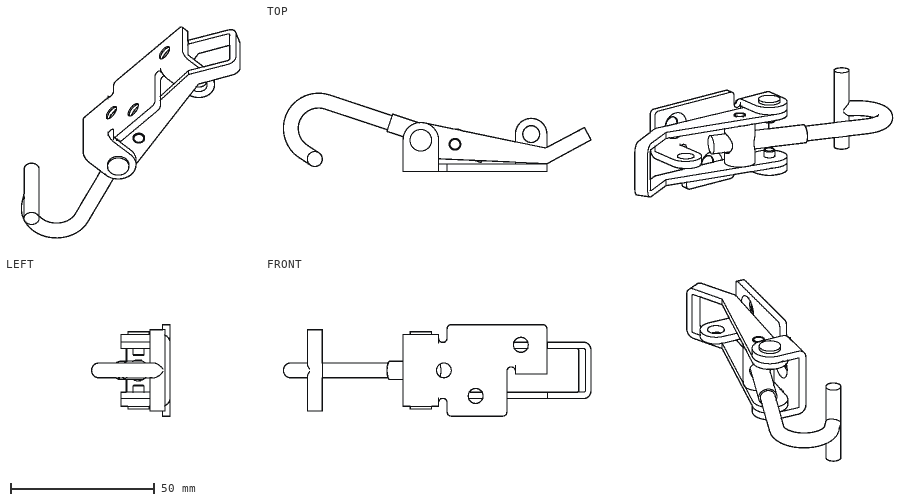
import cadquery as cq
import math


BASE_SHEET = 2.7
BASE_BEND_OUTER = 3.0
BASE_BEND_INNER = BASE_BEND_OUTER - BASE_SHEET
PLATE_HALF_HEIGHT = 16.0
PLATE_CORNER = 1.5
PLATE_RIGHT = 44.0
LOWER_BLOCK_RIGHT = 30.1
MOUNT_HOLES = [(8.1, 0), (19.1, -8.9), (34.9, 8.9)]
MOUNT_HOLE_RADIUS = 2.6
MOUNT_HOLE_LAND = 0.5
RELIEF_WIDTH = 2.9
RELIEF_RADIUS = RELIEF_WIDTH / 2
EAR_RELIEF_Z = 9.8

PIVOT_Y = 11.0
EAR_RADIUS = 6.2
EAR_OUTER_Z = 12.6
EAR_INNER_Z = EAR_OUTER_Z - BASE_SHEET
BLOCK_LEFT = EAR_RADIUS + RELIEF_WIDTH

TAB_LEFT = LOWER_BLOCK_RIGHT + RELIEF_WIDTH
TAB_RADIUS = (PLATE_RIGHT - TAB_LEFT) / 2
TAB_HOLE_X = PLATE_RIGHT - TAB_RADIUS
TAB_HOLE_Y = 13.1
TAB_HOLE_RADIUS = 2.9
TAB_OUTER_Z = -1.3
TAB_RELIEF_Z = 1.2

LEVER_SHEET = 2.3
LEVER_OUTER_Z = EAR_INNER_Z
LEVER_INNER_Z = LEVER_OUTER_Z - LEVER_SHEET
LEVER_BEND_OUTER = 3.0
ELBOW_TOP = (43.5, 8.3)
ELBOW_BOTTOM = (44.1, 2.8)
TAIL_ANGLE = 28.5
TAIL_LENGTH = 17.4
TAIL_WIDTH = 4.9
CUTTER_SIZE = 214.8

RIVET_HEAD_RADIUS = 3.8
RIVET_HEAD_HEIGHT = 1.0
RIVET_SHANK_RADIUS = 1.9
RIVET_INNER_Z = 5.2
PIN_CHAMFER = 0.3

TRUNNION_X = 11.9
TRUNNION_Y = 9.6
TRUNNION_RADIUS = 5.4
TRUNNION_PIN_RADIUS = 2.0
TRUNNION_HOLE_RADIUS = 3.7

HOOK_ANGLE = 18.3
ROD_DIAMETER = 5.3
ROD_RADIUS = ROD_DIAMETER / 2
COLLAR_RADIUS = 3.2
COLLAR_TAIL = 10.6
COLLAR_FRONT = 24.0
BEND_START = 46.9
BEND_RADIUS = 9.7
BEND_END_ANGLE = 33.4
HOOK_TIP_LENGTH = 4.8
CROSSBAR_HALF_LENGTH = 14.2


def block(x0, x1, y0, y1, z0, z1):
    return cq.Workplane("XY").box(x1 - x0, y1 - y0, z1 - z0, centered=False).translate((x0, y0, z0))


def post(x, y, radius, z0, z1):
    return cq.Workplane("XY").workplane(offset=z0).center(x, y).circle(radius).extrude(z1 - z0)


def plate_disc(x, z, radius):
    """Round cutter along Y through the base plate."""
    return cq.Workplane("XZ").center(x, z).circle(radius).extrude(-BASE_SHEET)


def round_ended(x, y, radius, z0, z1):
    """Flange shape that rises from Y = 0 to a round end centred on (x, y)."""
    return block(x - radius, x + radius, 0, y, z0, z1).union(post(x, y, radius, z0, z1))


def make_ears():
    top = PIVOT_Y + EAR_RADIUS
    outer = block(-EAR_RADIUS, EAR_RADIUS, 0, top, -EAR_OUTER_Z, EAR_OUTER_Z)
    outer = outer.edges("|X and <Y").fillet(BASE_BEND_OUTER)
    inner = block(-EAR_RADIUS, EAR_RADIUS, BASE_SHEET, 2 * top, -EAR_INNER_Z, EAR_INNER_Z)
    inner = inner.edges("|X and <Y").fillet(BASE_BEND_INNER)
    return outer.cut(inner).intersect(round_ended(0, PIVOT_Y, EAR_RADIUS, -EAR_OUTER_Z, EAR_OUTER_Z))


def make_tab():
    top = TAB_HOLE_Y + TAB_RADIUS
    outer = block(TAB_LEFT, PLATE_RIGHT, 0, top, TAB_OUTER_Z, EAR_INNER_Z)
    outer = outer.edges("|X and <Y and <Z").fillet(BASE_BEND_OUTER)
    inner = block(TAB_LEFT, PLATE_RIGHT, BASE_SHEET, 2 * top, TAB_OUTER_Z + BASE_SHEET, PLATE_HALF_HEIGHT)
    inner = inner.edges("|X and <Y and <Z").fillet(BASE_BEND_INNER)
    tab = outer.cut(inner)
    tab = tab.intersect(round_ended(TAB_HOLE_X, TAB_HOLE_Y, TAB_RADIUS, TAB_OUTER_Z, EAR_INNER_Z))
    return tab.cut(post(TAB_HOLE_X, TAB_HOLE_Y, TAB_HOLE_RADIUS, TAB_OUTER_Z, EAR_INNER_Z))


def make_plate():
    tab_root_z = TAB_OUTER_Z + BASE_BEND_OUTER
    upper = block(BLOCK_LEFT, PLATE_RIGHT, 0, BASE_SHEET, tab_root_z, PLATE_HALF_HEIGHT)
    upper = upper.edges("|Y and >Z").fillet(PLATE_CORNER)
    lower = block(BLOCK_LEFT, LOWER_BLOCK_RIGHT, 0, BASE_SHEET, -PLATE_HALF_HEIGHT, tab_root_z)
    lower = lower.edges("|Y and <Z").fillet(PLATE_CORNER)
    ear_relief_centre = EAR_RELIEF_Z + RELIEF_RADIUS
    neck = block(EAR_RADIUS, BLOCK_LEFT, 0, BASE_SHEET, -ear_relief_centre, ear_relief_centre)
    tab_relief_centre = TAB_RELIEF_Z - RELIEF_RADIUS
    tab_neck = block(LOWER_BLOCK_RIGHT, TAB_LEFT, 0, BASE_SHEET, tab_relief_centre, tab_root_z)
    plate = upper.union(lower).union(neck).union(tab_neck)
    for side in (-1, 1):
        plate = plate.cut(plate_disc(EAR_RADIUS + RELIEF_RADIUS, side * ear_relief_centre, RELIEF_RADIUS))
    return plate.cut(plate_disc(LOWER_BLOCK_RIGHT + RELIEF_RADIUS, tab_relief_centre, RELIEF_RADIUS))


def mount_hole(x, z):
    """Cutter for a screw hole that is countersunk from the plate's inner face."""
    depth = BASE_SHEET - MOUNT_HOLE_LAND
    wide_radius = MOUNT_HOLE_RADIUS + depth
    inner_face = cq.Vector(x, BASE_SHEET, z)
    outward = cq.Vector(0, -1, 0)
    cone = cq.Solid.makeCone(wide_radius, MOUNT_HOLE_RADIUS, depth, inner_face, outward)
    hole = plate_disc(x, z, MOUNT_HOLE_RADIUS)
    return hole.union(cq.Workplane(cone))


def make_base():
    base = make_plate().union(make_ears()).union(make_tab())
    for x, z in MOUNT_HOLES:
        base = base.cut(mount_hole(x, z))
    return base.cut(post(0, PIVOT_Y, RIVET_SHANK_RADIUS, -EAR_OUTER_Z, EAR_OUTER_Z))


def pivot_tangent(point, side):
    """Point where the line from `point` touches the lever's round end; side is 1 above, -1 below."""
    dx = point[0]
    dy = point[1] - PIVOT_Y
    angle = math.atan2(dy, dx) + side * math.acos(EAR_RADIUS / math.hypot(dx, dy))
    return (EAR_RADIUS * math.cos(angle), PIVOT_Y + EAR_RADIUS * math.sin(angle))


def from_point(point, angle, along, across=0):
    """Point reached from `point` by going `along` a direction and `across` to its left."""
    turn = math.radians(angle)
    x = point[0] + along * math.cos(turn) - across * math.sin(turn)
    y = point[1] + along * math.sin(turn) + across * math.cos(turn)
    return (x, y)


def lever_envelope(tail_end, inset):
    """Block with a rounded end square to the tail, set back by `inset` from the lever's outside."""
    half_height = LEVER_OUTER_Z - inset
    envelope = block(-CUTTER_SIZE, -inset, -CUTTER_SIZE, CUTTER_SIZE, -half_height, half_height)
    envelope = envelope.edges("|Y and >X").fillet(LEVER_BEND_OUTER - inset)
    return envelope.rotate((0, 0, 0), (0, 0, 1), TAIL_ANGLE).translate((*tail_end, 0))


def make_lever():
    tail_end_bottom = from_point(ELBOW_BOTTOM, TAIL_ANGLE, TAIL_LENGTH)
    tail_end_top = from_point(ELBOW_BOTTOM, TAIL_ANGLE, TAIL_LENGTH, TAIL_WIDTH)
    lever = (
        cq.Workplane("XY")
        .workplane(offset=-LEVER_OUTER_Z)
        .moveTo(*pivot_tangent(ELBOW_TOP, 1))
        .lineTo(*ELBOW_TOP)
        .lineTo(*tail_end_top)
        .lineTo(*tail_end_bottom)
        .lineTo(*ELBOW_BOTTOM)
        .lineTo(*pivot_tangent(ELBOW_BOTTOM, -1))
        .threePointArc((-EAR_RADIUS, PIVOT_Y), pivot_tangent(ELBOW_TOP, 1))
        .close()
        .extrude(2 * LEVER_OUTER_Z)
    )
    lever = lever.intersect(lever_envelope(tail_end_bottom, 0))
    lever = lever.cut(lever_envelope(tail_end_bottom, LEVER_SHEET))
    lever = lever.cut(post(0, PIVOT_Y, RIVET_SHANK_RADIUS, -LEVER_OUTER_Z, LEVER_OUTER_Z))
    return lever.cut(post(TRUNNION_X, TRUNNION_Y, TRUNNION_PIN_RADIUS, -LEVER_OUTER_Z, LEVER_OUTER_Z))


def make_rivet(side):
    """Rivet through one ear and one lever arm; side is 1 for the upper rivet, -1 for the lower."""
    shank = post(0, PIVOT_Y, RIVET_SHANK_RADIUS, RIVET_INNER_Z, EAR_OUTER_Z).faces("<Z").chamfer(PIN_CHAMFER)
    head = post(0, PIVOT_Y, RIVET_HEAD_RADIUS, EAR_OUTER_Z, EAR_OUTER_Z + RIVET_HEAD_HEIGHT)
    rivet = shank.union(head)
    return rivet if side > 0 else rivet.mirror("XY")


def make_trunnion_pin():
    pin = post(TRUNNION_X, TRUNNION_Y, TRUNNION_PIN_RADIUS, -LEVER_OUTER_Z, LEVER_OUTER_Z)
    return pin.faces("<Z or >Z").chamfer(PIN_CHAMFER)


def hook_rod(radius, start, end):
    """Straight round bar on the hook's axis, between two distances from the trunnion's axis."""
    axis = 180 - HOOK_ANGLE
    rod = cq.Workplane("YZ").circle(radius).extrude(end - start).translate((start, 0, 0))
    return rod.rotate((0, 0, 0), (0, 0, 1), axis).translate((TRUNNION_X, TRUNNION_Y, 0))


def make_trunnion():
    barrel = post(TRUNNION_X, TRUNNION_Y, TRUNNION_RADIUS, -LEVER_INNER_Z, LEVER_INNER_Z)
    return barrel.union(make_trunnion_pin()).cut(hook_rod(TRUNNION_HOLE_RADIUS, -COLLAR_TAIL, COLLAR_FRONT))


def make_hook():
    axis = 180 - HOOK_ANGLE
    bend_start = from_point((TRUNNION_X, TRUNNION_Y), axis, BEND_START)
    bend_centre = from_point(bend_start, axis, 0, BEND_RADIUS)
    bend_middle = from_point(bend_centre, 180, BEND_RADIUS)
    bend_end = from_point(bend_centre, 270 - BEND_END_ANGLE, BEND_RADIUS)
    crossbar_centre = from_point(bend_end, -BEND_END_ANGLE, HOOK_TIP_LENGTH)
    collar_end = from_point((TRUNNION_X, TRUNNION_Y), axis, COLLAR_FRONT)
    path = (
        cq.Workplane("XY")
        .moveTo(*collar_end)
        .lineTo(*bend_start)
        .threePointArc(bend_middle, bend_end)
        .lineTo(*crossbar_centre)
    )
    axis_direction = from_point((0, 0), axis, 1)
    start_plane = cq.Plane((*collar_end, 0), (0, 0, 1), (*axis_direction, 0))
    wire = cq.Workplane(start_plane).circle(ROD_RADIUS).sweep(path)
    collar = hook_rod(COLLAR_RADIUS, -COLLAR_TAIL, COLLAR_FRONT)
    crossbar = post(*crossbar_centre, ROD_RADIUS, -CROSSBAR_HALF_LENGTH, CROSSBAR_HALF_LENGTH)
    return wire.union(collar).union(crossbar)


base = make_base()
lever = make_lever()
rivets = [make_rivet(side) for side in (1, -1)]
trunnion = make_trunnion()
hook = make_hook()

result = cq.Compound.makeCompound(
    [base.val(), lever.val(), *[rivet.val() for rivet in rivets], trunnion.val(), hook.val()]
)